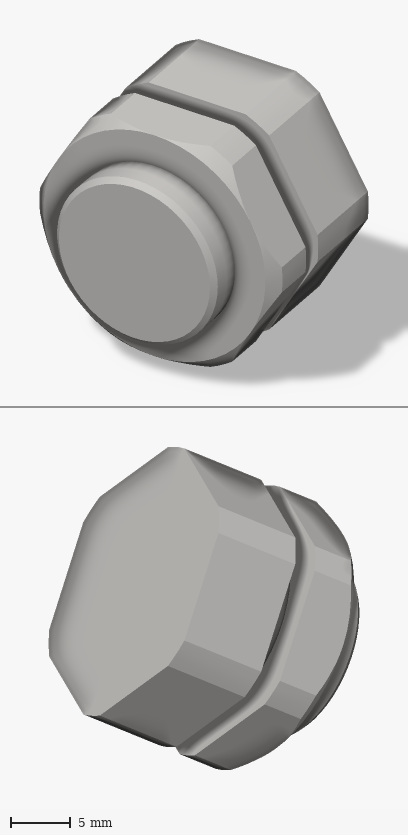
import cadquery as cq
import math

total_length = 18.0
rear_hex_length = 8.0
ring_thickness = 2.0
front_hex_length = 4.8
plug_length = total_length - rear_hex_length - ring_thickness - front_hex_length

across_flats = 21.8
across_corners = across_flats / math.cos(math.pi / 6)
front_corner_diameter = 23.9
rear_corner_diameter = 23.8
plug_diameter = 15.8
plug_chamfer = 0.48
ring_outer_diameter = 18.28

front_hex_start = plug_length
ring_start = front_hex_start + front_hex_length
rear_hex_start = ring_start + ring_thickness


def plane_at(y):
    """XZ plane at station y, with extrusions running towards +Y."""
    return cq.Workplane(cq.Plane(origin=(0, y, 0), xDir=(1, 0, 0), normal=(0, 1, 0)))


def turned_hexagon(y, length, corner_diameter):
    """Hexagonal prism with corners on X, rounded to the corner diameter."""
    prism = plane_at(y).polygon(6, across_corners).extrude(length)
    return prism.intersect(plane_at(y).circle(corner_diameter / 2).extrude(length))


def front_hexagon():
    """Front hexagon with a 45 degree cone cutting its front corners."""
    corner_radius = front_corner_diameter / 2
    corner_chamfer = (front_corner_diameter - across_flats) / 2
    envelope = (
        plane_at(front_hex_start)
        .circle(corner_radius)
        .extrude(front_hex_length)
        .faces("<Y")
        .chamfer(corner_chamfer)
    )
    return turned_hexagon(front_hex_start, front_hex_length, front_corner_diameter).intersect(envelope)


def sealing_ring():
    """Round-edged sealing disc filling the gap between the hexagons."""
    edge_radius = ring_thickness / 2
    flat_radius = ring_outer_diameter / 2 - edge_radius
    return (
        cq.Workplane("XY")
        .moveTo(0, ring_start)
        .lineTo(flat_radius, ring_start)
        .threePointArc((flat_radius + edge_radius, ring_start + edge_radius), (flat_radius, rear_hex_start))
        .lineTo(0, rear_hex_start)
        .close()
        .revolve(360, (0, 0, 0), (0, 1, 0))
    )


plug = plane_at(0).circle(plug_diameter / 2).extrude(plug_length).faces("<Y").chamfer(plug_chamfer)
rear_hexagon = turned_hexagon(rear_hex_start, rear_hex_length, rear_corner_diameter)

result = plug.union(front_hexagon()).union(sealing_ring()).union(rear_hexagon)